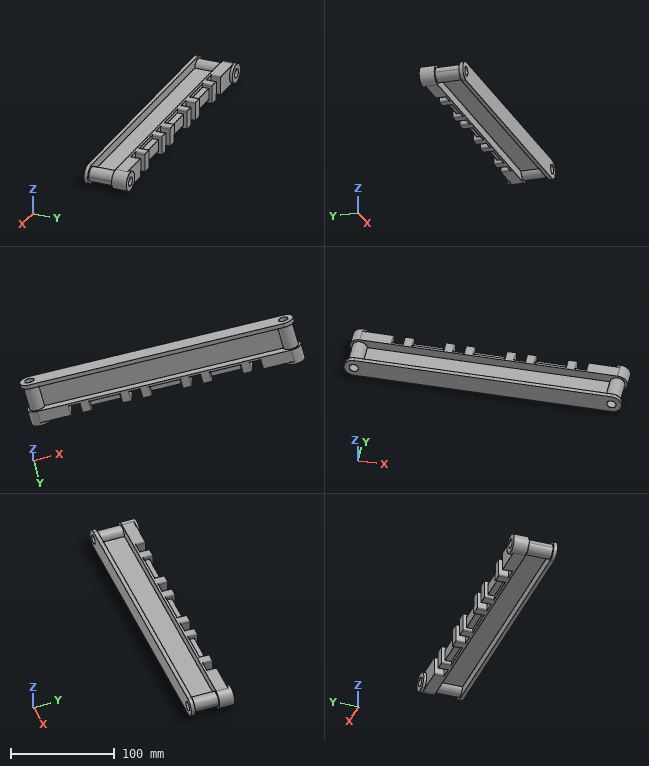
import cadquery as cq

length = 273.0
depth = 44.8
height = 20.0
end_radius = height / 2
pivot_x = length / 2 - end_radius
hole_diameter = 9.0
spool_diameter = 15.0

plate_thickness = 4.0
gap = 25.0
rear_y = plate_thickness + gap
rail_depth = 12.5
boss_y = rear_y + rail_depth
boss_depth = depth - boss_y

floor_thickness = 2.0
floor_length = 2 * pivot_x

wall_thickness = 2.5
notch_depth = rail_depth - wall_thickness
notch_pitch = 60.0
slot_width = 10.0
slot_centers = [(i - 1.5) * notch_pitch for i in range(4)]
recess_width = 30.0
recess_centers = [(i - 1) * notch_pitch for i in range(3)]
edge_radius = 1.0

web_depth = 6.5
web_drop = 3.8
web_height = height - 2 * web_drop


def box(x_center, x_size, y_start, y_size, z_size):
    """Box centred on the mid-height plane."""
    return cq.Workplane("XY").box(x_size, y_size, z_size).translate((x_center, y_start + y_size / 2, 0))


def cylinder(x, y_start, y_size, diameter):
    """Cylinder whose axis runs along +Y from y_start."""
    plane = cq.Workplane("XZ", origin=(x, y_start, 0))
    return plane.circle(diameter / 2).extrude(-y_size)


def rounded_bar(y_start, y_size):
    """Full-length bar with half-round ends."""
    return cq.Workplane("XZ", origin=(0, y_start, 0)).slot2D(length, height).extrude(-y_size)


def notch(x, width):
    """Cutter through the full height whose mouth flares by a rounded edge at top and bottom."""
    half = width / 2
    top = height / 2
    r = edge_radius
    profile = (
        cq.Workplane("XZ", origin=(x, rear_y + wall_thickness, 0))
        .moveTo(-half - r, top)
        .radiusArc((-half, top - r), r)
        .lineTo(-half, -top + r)
        .radiusArc((-half - r, -top), r)
        .lineTo(half + r, -top)
        .radiusArc((half, -top + r), r)
        .lineTo(half, top - r)
        .radiusArc((half + r, top), r)
        .close()
    )
    return profile.extrude(-notch_depth)


rail = rounded_bar(rear_y, rail_depth)
for x in slot_centers:
    rail = rail.cut(notch(x, slot_width))
for x in recess_centers:
    rail = rail.cut(notch(x, recess_width))
    rail = rail.union(box(x, recess_width, rear_y + wall_thickness, web_depth, web_height))

result = rounded_bar(0, plate_thickness).union(rail)
result = result.union(box(0, floor_length, plate_thickness, gap, floor_thickness))

spool = cylinder(pivot_x, plate_thickness, gap, spool_diameter)
boss = cylinder(pivot_x, boss_y, boss_depth, height)
for end_part in (spool, boss):
    result = result.union(end_part).union(end_part.mirror("YZ"))

for x in (-pivot_x, pivot_x):
    result = result.cut(cylinder(x, 0, depth, hole_diameter))